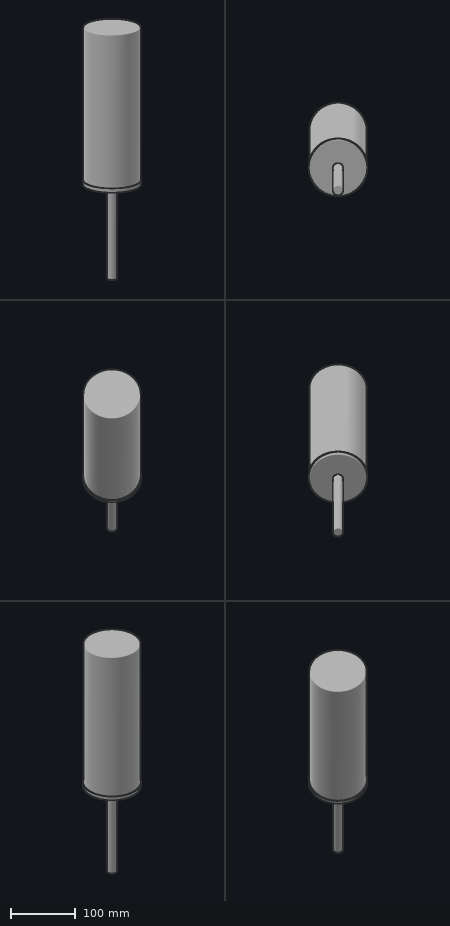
import cadquery as cq

overall_height = 407.0
body_height = 255.0
housing_diameter = 89.0
housing_top_fillet = 1.0
base_ring_diameter = 91.0
base_ring_height = 7.5
base_ring_fillet = 2.0
rod_diameter = 16.0
rod_tip_fillet = 1.0

rod_length = overall_height - body_height
housing_bottom = rod_length + base_ring_height


def build_cylinder(diameter, bottom, top):
    """Upright cylinder on the Z axis between two heights."""
    return cq.Workplane("XY").workplane(offset=bottom).circle(diameter / 2).extrude(top - bottom)


def build_housing():
    """Tall body with a lightly rounded top rim."""
    housing = build_cylinder(housing_diameter, housing_bottom, overall_height)
    return housing.faces(">Z").edges().fillet(housing_top_fillet)


def build_base_ring():
    """Slightly wider disc under the housing, rounded along its lower rim."""
    disc = build_cylinder(base_ring_diameter, rod_length, housing_bottom)
    return disc.faces("<Z").edges().fillet(base_ring_fillet)


def build_rod():
    """Round rod below the base ring, rounded at its tip."""
    rod = build_cylinder(rod_diameter, 0, rod_length)
    return rod.faces("<Z").edges().fillet(rod_tip_fillet)


result = build_base_ring().union(build_housing()).union(build_rod())